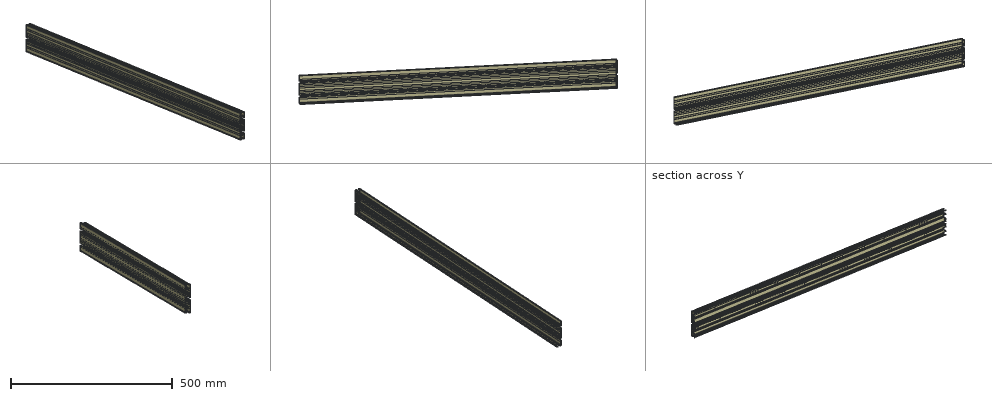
import cadquery as cq

LENGTH = 1000.0
DEPTH = 19.0
HEIGHT = 90.0
CORNER_RADIUS = 2.6

OUTER_WALL = 2.6
WEB = 2.2

SLOT_OPENING = 8.0

FACE_LIP = 4.3
FACE_HEAD_WIDTH = 14.0
FACE_HEAD_END = 13.0
FACE_SLOT_DEPTH = DEPTH - OUTER_WALL
REAR_SLOT_Z = HEIGHT / 4

EDGE_LIP = 2.2
EDGE_HEAD_WIDTH = DEPTH - 2 * OUTER_WALL
EDGE_SLOT_DEPTH = HEIGHT / 2 - REAR_SLOT_Z - FACE_HEAD_WIDTH / 2 - WEB

CHAMBER_WALL = 2.0
CHAMBER_WIDTH = DEPTH - 2 * CHAMBER_WALL
CHAMBER_HEIGHT = 5.0


def bar(width_y, height_z, center_y, center_z):
    """Full-length rectangular bar along X."""
    return cq.Workplane("XY").box(LENGTH, width_y, height_z).translate((0, center_y, center_z))


def face_slot(side, z):
    """T-slot at height z in the front (side = -1) or rear (side = +1) face."""
    surface = DEPTH / 2
    head_depth = FACE_HEAD_END - FACE_LIP
    neck = bar(FACE_SLOT_DEPTH, SLOT_OPENING, side * (surface - FACE_SLOT_DEPTH / 2), z)
    head = bar(head_depth, FACE_HEAD_WIDTH, side * (surface - FACE_LIP - head_depth / 2), z)
    return neck.union(head)


def edge_slot(end):
    """T-slot in the bottom (end = -1) or top (end = +1) edge."""
    surface = HEIGHT / 2
    head_depth = EDGE_SLOT_DEPTH - EDGE_LIP
    neck = bar(SLOT_OPENING, EDGE_SLOT_DEPTH, 0, end * (surface - EDGE_SLOT_DEPTH / 2))
    head = bar(EDGE_HEAD_WIDTH, head_depth, 0, end * (surface - EDGE_LIP - head_depth / 2))
    return neck.union(head)


def chamber(end):
    """Closed chamber below (end = -1) or above (end = +1) the front slot."""
    return bar(CHAMBER_WIDTH, CHAMBER_HEIGHT, 0, end * REAR_SLOT_Z / 2)


result = bar(DEPTH, HEIGHT, 0, 0).edges("|X").fillet(CORNER_RADIUS)
result = result.cut(face_slot(-1, 0))
for end in (-1, 1):
    result = result.cut(face_slot(1, end * REAR_SLOT_Z))
    result = result.cut(edge_slot(end))
    result = result.cut(chamber(end))